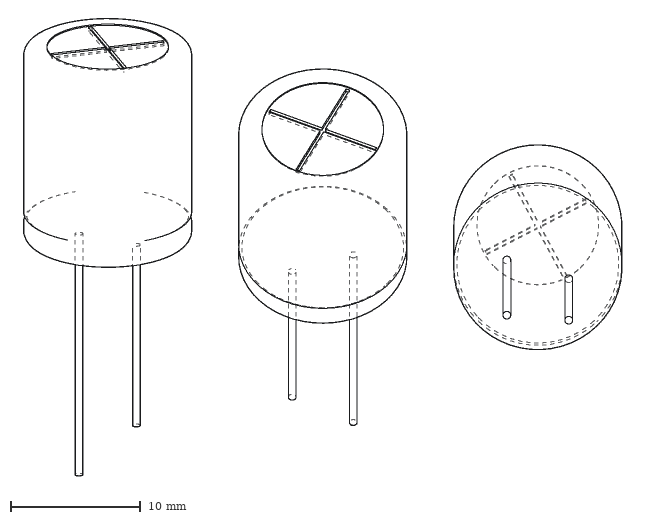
import cadquery as cq
import math


can_diameter = 13.0
can_height = 16.0
edge_round = 0.775
can_radius = can_diameter / 2

crimp_height = 1.885
crimp_depth = 0.25
crimp_floor_width = 0.17
crimp_half_width = 0.445

top_disc_diameter = 9.39
top_disc_depth = 0.1
vent_diameter = 9.03
vent_width = 0.3
vent_depth = 0.3
vent_angles = (45, 135)

lead_diameter = 0.6
lead_pitch = 5.0
long_lead_length = 20.0
short_lead_length = 15.0
leads = (
    (-lead_pitch / 2, long_lead_length),
    (lead_pitch / 2, short_lead_length),
)


def make_can_blank():
    """Revolve the can profile, with rounded rims and a smoothly waved crimp groove."""
    rim_radius = can_radius - edge_round
    edge_mid_radius = rim_radius + edge_round * math.sqrt(0.5)
    edge_mid_inset = can_radius - edge_mid_radius

    floor_radius = can_radius - crimp_depth
    crimp_bottom = crimp_height - crimp_half_width
    crimp_top = crimp_height + crimp_half_width
    flank_radius = can_radius - crimp_depth / 2
    floor_bottom = crimp_height - crimp_floor_width / 2
    floor_top = crimp_height + crimp_floor_width / 2
    flank_bottom = (crimp_bottom + floor_bottom) / 2
    flank_top = (crimp_top + floor_top) / 2

    profile = (
        cq.Workplane("XZ")
        .lineTo(rim_radius, 0)
        .threePointArc((edge_mid_radius, edge_mid_inset), (can_radius, edge_round))
        .lineTo(can_radius, crimp_bottom)
        .tangentArcPoint((flank_radius, flank_bottom), relative=False)
        .tangentArcPoint((floor_radius, floor_bottom), relative=False)
        .lineTo(floor_radius, floor_top)
        .tangentArcPoint((flank_radius, flank_top), relative=False)
        .tangentArcPoint((can_radius, crimp_top), relative=False)
        .lineTo(can_radius, can_height - edge_round)
        .threePointArc((edge_mid_radius, can_height - edge_mid_inset), (rim_radius, can_height))
        .lineTo(0, can_height)
        .close()
    )
    return profile.revolve(360, (0, 0, 0), (0, 1, 0))


def make_top_recess():
    """Shallow circular recess in the top of the can."""
    return (
        cq.Workplane("XY")
        .workplane(offset=can_height - top_disc_depth)
        .circle(top_disc_diameter / 2)
        .extrude(top_disc_depth)
    )


def make_vent_groove(angle):
    """One straight vent groove across the disc, with round ends just inside its edge."""
    floor_height = can_height - top_disc_depth - vent_depth
    bar = (
        cq.Workplane("XY")
        .workplane(offset=floor_height)
        .rect(vent_diameter, vent_width)
        .extrude(vent_depth)
        .rotate((0, 0, 0), (0, 0, 1), angle)
    )
    end_circle = (
        cq.Workplane("XY")
        .workplane(offset=floor_height)
        .circle(vent_diameter / 2)
        .extrude(vent_depth)
    )
    return bar.intersect(end_circle)


def make_can():
    body = make_can_blank().cut(make_top_recess())
    for angle in vent_angles:
        body = body.cut(make_vent_groove(angle))
    return body


def make_lead(x, length):
    """Straight round wire hanging from the underside of the can."""
    return cq.Workplane("XY").center(x, 0).circle(lead_diameter / 2).extrude(-length)


can = make_can()
lead_solids = [make_lead(x, length).val() for x, length in leads]

result = cq.Compound.makeCompound([can.val(), *lead_solids])